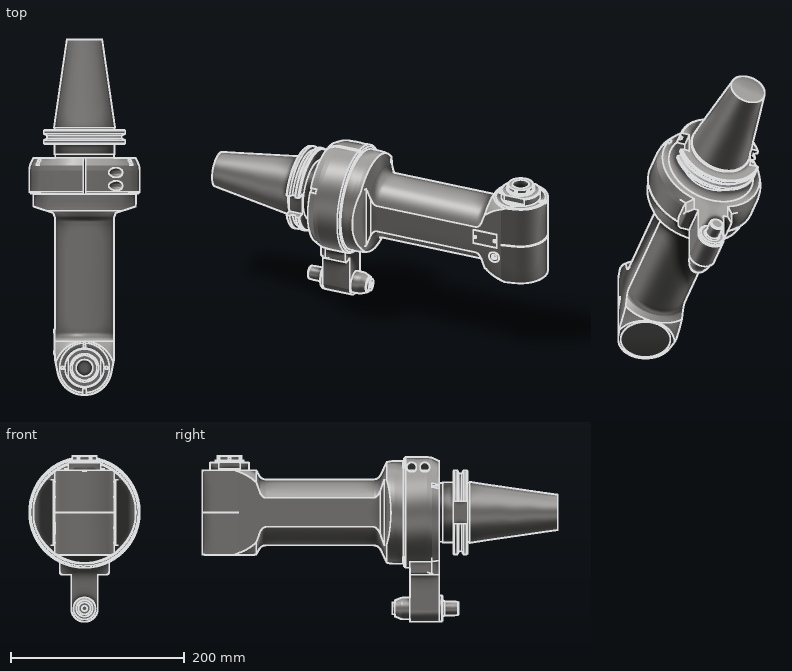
import cadquery as cq
import math


LENGTH = 409.5
SMALL_STEP = 0.5

TAPER_END_R = 20.5
TAPER_LENGTH = 101.5
TAPER_R = TAPER_END_R + TAPER_LENGTH * 7 / 24 / 2
FLANGE_R = 48.7
FLANGE_START = 104.0
FLANGE_END = 120.5
FLANGE_MID = (FLANGE_START + FLANGE_END) / 2
UNDERCUT_R = 34.5
GROOVE_DEPTH = 3.5
GROOVE_HALF_TOP = 3.5
GROOVE_HALF_ROOT = 1.5
RIM_CHAMFER = 1.2
DRIVE_SLOT_WIDTH = 26.0
DRIVE_SLOT_FLOOR = 37.0
SHANK_NECK_R = 35.0
SHANK_END = 132.5

RING_R = 64.0
RING_BORE_R = 51.0
RING_START = 136.5
RING_CHAMFER_END = 145.0
RING_FULL_START = 150.7
RING_END = 177.5
RING_REAR_R = 59.0
RING_SHOULDER_R = 63.0
RING_FRONT_CHAMFER = 2.0
SPLIT_WIDTH = 3.3
CLAMP_HOLE_D = 11.0
CLAMP_HOLE_Z = 52.0
CLAMP_HOLE_STATIONS = (153.0, 168.5)
CLAMP_HOLE_FLOOR_X = 16.5
SPANNER_NOTCH_ANGLES = (30, 150)
SPANNER_NOTCH_WIDTH = 5.0
SPANNER_NOTCH_R = 56.5

LUG_HALF_WIDTH = 28.5
LUG_REAR_HALF_WIDTH = 20.5
LUG_BOTTOM_Z = -72.0
LUG_CORNER_R = 4.0
ARM_WIDTH = 30.7
ARM_END_R = 15.5
ARM_END_STATION = 170.5
PIN_Z = -110.5

PIN_BODY_R = 12.5
PIN_TAIL_R = 8.0
PIN_TAIL_TIP_R = 7.8
PIN_TAIL_START = 114.0
PIN_TAIL_CHAMFER = 1.2
PIN_TAIL_TIP_END = 119.0
PIN_TAIL_END = 130.3
PIN_TAIL_ROOT_R = 9.5
PIN_FLANGE_R = 15.0
PIN_FLANGE_START = 132.5
PIN_FLANGE_CHAMFER = 1.5
PIN_CONE_START = 178.0
PIN_CONE_BREAK = 180.5
PIN_CONE_BREAK_R = 12.3
PIN_CONE_END = 187.5
PIN_CONE_END_R = 9.5
PIN_TIP_R = 7.0
PIN_END = 191.0
PIN_TIP_HOLE_D = 6.0
PIN_TIP_HOLE_DEPTH = 2.0

COLLAR_R = 34.0
DRUM_START = 178.0
DRUM_R = 59.5
DRUM_BREAK = 188.0
DRUM_BREAK_END = 193.0
DRUM_BREAK_R = 59.0
DRUM_END = 197.0
DRUM_END_R = 58.0
DRUM_CONE_END = 204.0
DRUM_CONE_END_R = 43.5
TUBE_R = 38.0
TUBE_START = 211.8
TUBE_END = 336.3
FLAT_WIDTH = 68.5
FLAT_X = FLAT_WIDTH / 2
SLOPE_START = 192.5
SLOPE_START_X = 58.5
SLOPE_END = 200.0
SLOPE_END_X = 36.0
FLAT_START = 205.0
HEAD_HALF_HEIGHT = 48.7
HEAD_FILLET_END = 343.2
HEAD_FILLET_END_R = 41.5
HEAD_SHOULDER = 347.5
HEAD_BULGE = 354.5
HEAD_BULGE_R = 53.0
HEAD_FULL = 374.5
HEAD_FULL_R = 59.5
HEAD_SIDE_STATION = 368.2
NOSE_R = 31.5
SPINDLE_STATION = LENGTH - NOSE_R
COVER_R = 28.5
COVER_HOLE_D = 3.2
COVER_HOLE_R = 25.2
COVER_HOLE_DEPTH = 2.0
KEY_WIDTH = 4.0
KEY_START_R = 24.0
KEY_DEPTH = 1.2
SEAM_WIDTH = 1.0
PLATE_STATIONS = (333.5, 363.0)
PLATE_Z = (-5.0, 12.5)
RIVET_D = 3.2
RIVET_INSET = 2.5
RIVET_HEIGHT = 1.2
PLUG_STATION = 359.2
PLUG_Z = -18.0
PLUG_D = 12.5
PLUG_HOLE_D = 6.0
PLUG_HOLE_DEPTH = 4.0

SPINDLE_TOP_Z = 65.0
SPINDLE_BASE_Z = HEAD_HALF_HEIGHT - SMALL_STEP
SPINDLE_COLLAR_R = 22.5
SPINDLE_COLLAR_TOP = 57.8
SPINDLE_COLLAR_CHAMFER = 1.0
WRENCH_FLAT_X = 19.0
WRENCH_FLAT_Z = 50.5
NUT_NECK_R = 15.0
NUT_LIP_R = 16.5
NUT_LIP_Z = 59.5
NUT_Z = 60.2
NUT_R = 14.5
NUT_BORE_D = 19.3
NUT_BORE_DEPTH = 14.5
NUT_HOLES = 6
NUT_HOLE_D = 3.0
NUT_HOLE_Z = 62.3
NUT_HOLE_DEPTH = 2.0


def at(radius, station):
    """Point in the XY plane at a distance from the Y axis and a station."""
    return (radius, -station)


def turned(points):
    """Solid of revolution about the Y axis from (radius, station) points."""
    outline = cq.Workplane("XY").polyline([at(*p) for p in points]).close()
    return outline.revolve(360, (0, 0, 0), (0, 1, 0))


def block(x_range, stations, z_range):
    """Box between two X values, two stations and two heights."""
    size = (x_range[1] - x_range[0], stations[1] - stations[0], z_range[1] - z_range[0])
    corner = (x_range[0], -stations[1], z_range[0])
    return cq.Workplane("XY").box(*size, centered=False).translate(corner)


def cylinder(diameter, length, start, direction):
    """Round bar from a start point along a direction."""
    solid = cq.Solid.makeCylinder(diameter / 2, length, cq.Vector(*start), cq.Vector(*direction))
    return cq.Workplane(solid)



def make_shank():
    rim_r = FLANGE_R - RIM_CHAMFER
    root_r = FLANGE_R - GROOVE_DEPTH
    shank = turned([
        (0, 0),
        (TAPER_END_R, 0),
        (TAPER_R, TAPER_LENGTH),
        (UNDERCUT_R, TAPER_LENGTH),
        (UNDERCUT_R, FLANGE_START),
        (rim_r, FLANGE_START),
        (FLANGE_R, FLANGE_START + RIM_CHAMFER),
        (FLANGE_R, FLANGE_MID - GROOVE_HALF_TOP),
        (root_r, FLANGE_MID - GROOVE_HALF_ROOT),
        (root_r, FLANGE_MID + GROOVE_HALF_ROOT),
        (FLANGE_R, FLANGE_MID + GROOVE_HALF_TOP),
        (FLANGE_R, FLANGE_END - RIM_CHAMFER),
        (rim_r, FLANGE_END),
        (SHANK_NECK_R, FLANGE_END),
        (SHANK_NECK_R, SHANK_END),
        (0, SHANK_END),
    ])
    half_slot = DRIVE_SLOT_WIDTH / 2
    stations = (FLANGE_START, FLANGE_END)
    heights = (-half_slot, half_slot)
    shank = shank.cut(block((DRIVE_SLOT_FLOOR, FLANGE_R), stations, heights))
    return shank.cut(block((-FLANGE_R, -DRIVE_SLOT_FLOOR), stations, heights))



def make_lug():
    """Wide foot under the ring: bottom corners rounded, rear corners bevelled along with the ring."""
    front_shape = (
        block((-LUG_HALF_WIDTH, LUG_HALF_WIDTH), (RING_START, ARM_END_STATION), (LUG_BOTTOM_Z, 0))
        .edges("|Y and <Z").fillet(LUG_CORNER_R)
    )
    shoulder_x = LUG_HALF_WIDTH - (RING_R - RING_SHOULDER_R)
    half_plan = [
        (LUG_REAR_HALF_WIDTH, RING_START),
        (shoulder_x, RING_CHAMFER_END),
        (LUG_HALF_WIDTH, RING_FULL_START),
        (LUG_HALF_WIDTH, ARM_END_STATION),
    ]
    mirrored = [(-x, station) for x, station in reversed(half_plan)]
    plan = cq.Workplane("XY").polyline([at(*p) for p in half_plan + mirrored]).close()
    return front_shape.intersect(plan.extrude(LUG_BOTTOM_Z))


def make_arm():
    """Narrow arm hanging from the ring, rounded about the pin axis."""
    half = ARM_WIDTH / 2
    stations = (RING_START, ARM_END_STATION)
    start = (0, -RING_START, PIN_Z)
    round_end = cylinder(2 * ARM_END_R, ARM_END_STATION - RING_START, start, (0, -1, 0))
    lower = block((-half, half), stations, (PIN_Z - ARM_END_R, PIN_Z)).intersect(round_end)
    return block((-half, half), stations, (PIN_Z, 0)).union(lower)


def make_ring():
    ring = turned([
        (0, RING_START),
        (RING_REAR_R, RING_START),
        (RING_SHOULDER_R, RING_CHAMFER_END),
        (RING_R, RING_FULL_START),
        (RING_R, RING_END - RING_FRONT_CHAMFER),
        (RING_R - RING_FRONT_CHAMFER, RING_END),
        (0, RING_END),
    ])
    ring = ring.union(make_lug()).union(make_arm())
    width = RING_END - RING_START
    ring = ring.cut(cylinder(2 * RING_BORE_R, width, (0, -RING_START, 0), (0, -1, 0)))

    half_split = SPLIT_WIDTH / 2
    ring = ring.cut(block((-half_split, half_split), (RING_START, RING_END), (0, RING_R)))
    for station in CLAMP_HOLE_STATIONS:
        start = (CLAMP_HOLE_FLOOR_X, -station, CLAMP_HOLE_Z)
        ring = ring.cut(cylinder(CLAMP_HOLE_D, RING_R, start, (1, 0, 0)))

    half_notch = SPANNER_NOTCH_WIDTH / 2
    for angle in SPANNER_NOTCH_ANGLES:
        notch = block((SPANNER_NOTCH_R, RING_R), (RING_START, RING_CHAMFER_END), (-half_notch, half_notch))
        ring = ring.cut(notch.rotate((0, 0, 0), (0, 1, 0), -angle))

    return ring.cut(cylinder(2 * PIN_BODY_R, width, (0, -RING_START, PIN_Z), (0, -1, 0)))



def make_pin():
    pin = turned([
        (0, PIN_TAIL_START),
        (PIN_TAIL_TIP_R - PIN_TAIL_CHAMFER, PIN_TAIL_START),
        (PIN_TAIL_TIP_R, PIN_TAIL_START + PIN_TAIL_CHAMFER),
        (PIN_TAIL_R, PIN_TAIL_TIP_END),
        (PIN_TAIL_R, PIN_TAIL_END),
        (PIN_TAIL_ROOT_R, PIN_FLANGE_START),
        (PIN_FLANGE_R - PIN_FLANGE_CHAMFER, PIN_FLANGE_START),
        (PIN_FLANGE_R, PIN_FLANGE_START + PIN_FLANGE_CHAMFER),
        (PIN_FLANGE_R, RING_START),
        (PIN_BODY_R, RING_START),
        (PIN_BODY_R, PIN_CONE_START),
        (PIN_CONE_BREAK_R, PIN_CONE_BREAK),
        (PIN_CONE_END_R, PIN_CONE_END),
        (PIN_TIP_R, PIN_CONE_END),
        (PIN_TIP_R, PIN_END),
        (0, PIN_END),
    ])
    pin = pin.cut(cylinder(PIN_TIP_HOLE_D, PIN_TIP_HOLE_DEPTH, (0, -PIN_END, 0), (0, 1, 0)))
    return pin.translate((0, 0, PIN_Z))



def nose_tangent_point():
    """Point where a line from the end of the side flat touches the nose circle."""
    run = SPINDLE_STATION - HEAD_SIDE_STATION
    angle = math.atan2(run, FLAT_X) - math.acos(NOSE_R / math.hypot(run, FLAT_X))
    return NOSE_R * math.cos(angle), SPINDLE_STATION - NOSE_R * math.sin(angle)


def head_plan(inset=0.0):
    """Plan outline of the housing, running from the drum to the rounded nose."""
    touch_x, touch_station = nose_tangent_point()
    outer_x = RING_R
    plan = (
        cq.Workplane("XY")
        .moveTo(*at(outer_x, SHANK_END))
        .lineTo(*at(outer_x, DRUM_BREAK))
        .lineTo(*at(SLOPE_START_X, SLOPE_START))
        .lineTo(*at(SLOPE_END_X, SLOPE_END))
        .lineTo(*at(FLAT_X, FLAT_START))
        .lineTo(*at(FLAT_X, HEAD_SIDE_STATION))
        .lineTo(*at(touch_x, touch_station))
        .threePointArc(at(0, LENGTH), at(-touch_x, touch_station))
        .lineTo(*at(-FLAT_X, HEAD_SIDE_STATION))
        .lineTo(*at(-FLAT_X, FLAT_START))
        .lineTo(*at(-SLOPE_END_X, SLOPE_END))
        .lineTo(*at(-SLOPE_START_X, SLOPE_START))
        .lineTo(*at(-outer_x, DRUM_BREAK))
        .lineTo(*at(-outer_x, SHANK_END))
        .close()
    )
    return plan.offset2D(-inset) if inset else plan


def turned_housing():
    """Revolved envelope of the housing: collar, drum, tube and bulging head."""
    outline = (
        cq.Workplane("XY")
        .moveTo(*at(0, SHANK_END))
        .lineTo(*at(COLLAR_R, SHANK_END))
        .lineTo(*at(COLLAR_R, RING_START))
        .lineTo(*at(RING_BORE_R, RING_START))
        .lineTo(*at(RING_BORE_R, DRUM_START))
        .lineTo(*at(DRUM_R, DRUM_START))
        .lineTo(*at(DRUM_R, DRUM_BREAK))
        .lineTo(*at(DRUM_BREAK_R, DRUM_BREAK_END))
        .lineTo(*at(DRUM_END_R, DRUM_END))
        .lineTo(*at(DRUM_CONE_END_R, DRUM_CONE_END))
        .tangentArcPoint(at(TUBE_R, TUBE_START), relative=False)
        .lineTo(*at(TUBE_R, TUBE_END))
        .tangentArcPoint(at(HEAD_FILLET_END_R, HEAD_FILLET_END), relative=False)
        .lineTo(*at(HEAD_HALF_HEIGHT, HEAD_SHOULDER))
        .threePointArc(at(HEAD_BULGE_R, HEAD_BULGE), at(HEAD_FULL_R, HEAD_FULL))
        .lineTo(*at(HEAD_FULL_R, LENGTH))
        .lineTo(*at(0, LENGTH))
        .close()
    )
    return outline.revolve(360, (0, 0, 0), (0, 1, 0))


def make_housing():
    housing = turned_housing().intersect(head_plan().extrude(RING_R, both=True))

    head_stations = (TUBE_END, LENGTH)
    for bottom in (HEAD_HALF_HEIGHT, -HEAD_FULL_R):
        top = bottom + HEAD_FULL_R - HEAD_HALF_HEIGHT
        housing = housing.cut(block((-HEAD_FULL_R, HEAD_FULL_R), head_stations, (bottom, top)))

    axis_y = -SPINDLE_STATION
    housing = housing.cut(cylinder(2 * COVER_R, SMALL_STEP, (0, axis_y, SPINDLE_BASE_Z), (0, 0, 1)))
    housing = housing.union(cylinder(2 * COVER_R, SMALL_STEP, (0, axis_y, -HEAD_HALF_HEIGHT), (0, 0, -1)))
    for angle in (0, 90, 180):
        x = COVER_HOLE_R * math.cos(math.radians(angle))
        y = axis_y + COVER_HOLE_R * math.sin(math.radians(angle))
        start = (x, y, SPINDLE_BASE_Z)
        housing = housing.cut(cylinder(COVER_HOLE_D, COVER_HOLE_DEPTH, start, (0, 0, -1)))
    key_stations = (SPINDLE_STATION + KEY_START_R, LENGTH)
    key_heights = (SPINDLE_BASE_Z - KEY_DEPTH, HEAD_HALF_HEIGHT)
    housing = housing.cut(block((-KEY_WIDTH / 2, KEY_WIDTH / 2), key_stations, key_heights))

    band = block((-RING_R, RING_R), (HEAD_SIDE_STATION, LENGTH), (-SEAM_WIDTH / 2, SEAM_WIDTH / 2))
    housing = housing.cut(band.cut(head_plan(SMALL_STEP).extrude(SEAM_WIDTH, both=True)))

    housing = housing.union(block((-FLAT_X - SMALL_STEP, -FLAT_X), PLATE_STATIONS, PLATE_Z))
    rivet_z = sum(PLATE_Z) / 2
    for station in (PLATE_STATIONS[0] + RIVET_INSET, PLATE_STATIONS[1] - RIVET_INSET):
        rivet = cylinder(RIVET_D, RIVET_HEIGHT, (-FLAT_X, -station, rivet_z), (-1, 0, 0))
        housing = housing.union(rivet)

    seat = (-FLAT_X, -PLUG_STATION, PLUG_Z)
    housing = housing.cut(cylinder(PLUG_D, SMALL_STEP, seat, (1, 0, 0)))
    return housing.cut(cylinder(PLUG_HOLE_D, PLUG_HOLE_DEPTH, seat, (1, 0, 0)))



def make_spindle():
    outline = cq.Workplane("XZ").polyline([
        (0, SPINDLE_BASE_Z),
        (SPINDLE_COLLAR_R, SPINDLE_BASE_Z),
        (SPINDLE_COLLAR_R, SPINDLE_COLLAR_TOP - SPINDLE_COLLAR_CHAMFER),
        (SPINDLE_COLLAR_R - SPINDLE_COLLAR_CHAMFER, SPINDLE_COLLAR_TOP),
        (NUT_NECK_R, SPINDLE_COLLAR_TOP),
        (NUT_LIP_R, NUT_LIP_Z),
        (NUT_LIP_R, NUT_Z),
        (NUT_R, NUT_Z),
        (NUT_R, SPINDLE_TOP_Z),
        (0, SPINDLE_TOP_Z),
    ]).close()
    spindle = outline.revolve(360, (0, 0, 0), (0, 1, 0))
    spindle = spindle.cut(cylinder(NUT_BORE_D, NUT_BORE_DEPTH, (0, 0, SPINDLE_TOP_Z), (0, 0, -1)))

    half = SPINDLE_COLLAR_R
    heights = (WRENCH_FLAT_Z, SPINDLE_COLLAR_TOP)
    spindle = spindle.cut(block((WRENCH_FLAT_X, half), (-half, half), heights))
    spindle = spindle.cut(block((-half, -WRENCH_FLAT_X), (-half, half), heights))

    for index in range(NUT_HOLES):
        hole = cylinder(NUT_HOLE_D, NUT_HOLE_DEPTH, (NUT_R, 0, NUT_HOLE_Z), (-1, 0, 0))
        spindle = spindle.cut(hole.rotate((0, 0, 0), (0, 0, 1), index * 360 / NUT_HOLES))
    return spindle.translate((0, -SPINDLE_STATION, 0))


shank = make_shank()
ring = make_ring()
pin = make_pin()
housing = make_housing()
spindle = make_spindle()

result = cq.Compound.makeCompound([
    shank.val(),
    ring.val(),
    pin.val(),
    housing.val(),
    spindle.val(),
])